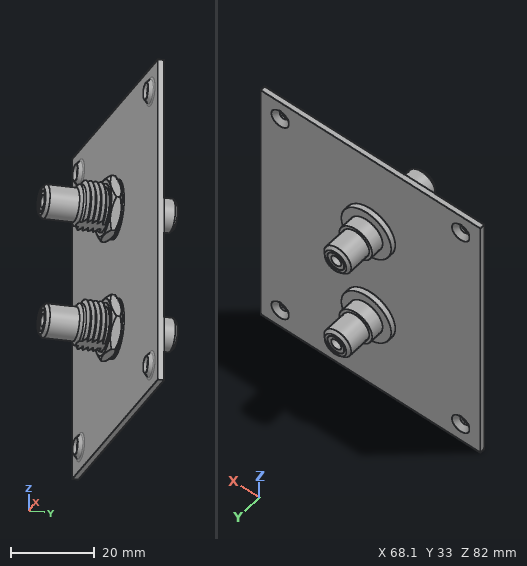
import cadquery as cq
import math


plate_width = 68.1
plate_height = 82.0
plate_thickness = 1.55
jack_z = 15.3

flank_angle = math.radians(45)
dimple_x = 28.0
dimple_z = 35.0
dimple_height = 1.15
crest_radius = 2.05
dimple_hole_radius = 1.3
foot_blend_radius = 0.8
dimple_bore_length = 0.6

jack_back = 14.6
jack_front = 18.4
barrel_radius = 4.2
tip_chamfer = 0.8
socket_radius = 2.6
socket_depth = 0.25
jack_bore_radius = 1.55
boss_radius = 5.1
boss_back = 7.05
flange_radius = 7.7
flange_back = 3.1
shank_radius = 5.9
shank_flat_depth = 4.8

thread_core_radius = 5.1
thread_crest_radius = 6.15
ridge_count = 4
first_ridge = 4.3
last_ridge = 8.1
thread_pitch = (last_ridge - first_ridge) / (ridge_count - 1)
ridge_half_width = thread_pitch / 2
collar_chamfer_start = 9.4
collar_end = 10.2

washer_radius = 7.3
washer_thickness = 0.4
nut_across_flats = 14.0
nut_thickness = 2.6
nut_face_radius = 6.9
nut_chamfer_angle = math.radians(35)

nut_front = washer_thickness + nut_thickness
nut_corner_radius = nut_across_flats / math.sqrt(3)


def disc(radius, y_start, y_end):
    """Solid cylinder on the Y axis between two Y positions."""
    length = y_end - y_start
    return cq.Workplane("XZ", origin=(0, y_end, 0)).circle(radius).extrude(length)


def revolve_about_y(outline):
    """Turn a closed XY outline, with X as the radius, once around the Y axis."""
    return outline.close().revolve(360, (0, 0, 0), (0, 1, 0))


def cut_shank_flat(body, y_start, y_end):
    """Remove everything below the shank flat between two Y positions."""
    cutter = (
        cq.Workplane("XY", origin=(0, 0, -shank_flat_depth))
        .center(0, (y_start + y_end) / 2)
        .rect(2 * flange_radius, y_end - y_start)
        .extrude(-shank_radius)
    )
    return body.cut(cutter)


def make_dimple():
    """Raised cone with a concave foot that blends into the plate."""
    half_angle = flank_angle / 2
    flank_foot_radius = crest_radius + dimple_height / math.tan(flank_angle)
    foot_radius = flank_foot_radius + foot_blend_radius * math.tan(half_angle)

    def blend_point(angle):
        """Point on the foot blend arc, measured from where it meets the plate."""
        radius = foot_radius - foot_blend_radius * math.sin(angle)
        rise = foot_blend_radius * (1 - math.cos(angle))
        return (radius, -rise)

    inside_plate = plate_thickness / 2
    return revolve_about_y(
        cq.Workplane("XY")
        .moveTo(0, inside_plate)
        .lineTo(0, -dimple_height)
        .lineTo(crest_radius, -dimple_height)
        .lineTo(*blend_point(flank_angle))
        .threePointArc(blend_point(half_angle), blend_point(0))
        .lineTo(foot_radius, inside_plate)
    )


def make_dimple_opening():
    """Front cone, short bore and hollow rear cone, the cones at the flank angle."""
    throat_y = -dimple_height + (crest_radius - dimple_hole_radius) * math.tan(flank_angle)
    bore_end = throat_y + dimple_bore_length
    rear_radius = dimple_hole_radius + (plate_thickness - bore_end) / math.tan(flank_angle)
    return revolve_about_y(
        cq.Workplane("XY")
        .moveTo(0, -dimple_height)
        .lineTo(crest_radius, -dimple_height)
        .lineTo(dimple_hole_radius, throat_y)
        .lineTo(dimple_hole_radius, bore_end)
        .lineTo(rear_radius, plate_thickness)
        .lineTo(0, plate_thickness)
    )


def make_plate():
    """Plate with keyed jack holes and a dimple at each corner."""
    plate = cq.Workplane("XY").box(plate_width, plate_thickness, plate_height)
    plate = plate.translate((0, plate_thickness / 2, 0))
    jack_hole = cut_shank_flat(disc(shank_radius, 0, plate_thickness), 0, plate_thickness)
    for z in (-jack_z, jack_z):
        plate = plate.cut(jack_hole.translate((0, 0, z)))
    for x in (-dimple_x, dimple_x):
        for z in (-dimple_z, dimple_z):
            plate = plate.union(make_dimple().translate((x, 0, z)))
            plate = plate.cut(make_dimple_opening().translate((x, 0, z)))
    return plate


def make_jack(z):
    """Through jack: two barrels, rear boss and flange, flatted shank and thread."""
    tip_radius = barrel_radius - tip_chamfer
    outline = (
        cq.Workplane("XY")
        .moveTo(0, jack_back)
        .lineTo(tip_radius, jack_back)
        .lineTo(barrel_radius, jack_back - tip_chamfer)
        .lineTo(barrel_radius, boss_back)
        .lineTo(boss_radius, boss_back)
        .lineTo(boss_radius, flange_back)
        .lineTo(flange_radius, flange_back)
        .lineTo(flange_radius, plate_thickness)
        .lineTo(shank_radius, plate_thickness)
        .lineTo(shank_radius, -nut_front)
        .lineTo(thread_core_radius, -nut_front)
    )
    outline = outline.lineTo(thread_core_radius, -first_ridge + ridge_half_width)
    for ridge in range(ridge_count):
        ridge_y = -first_ridge - ridge * thread_pitch
        outline = outline.lineTo(thread_crest_radius, ridge_y)
        outline = outline.lineTo(thread_core_radius, ridge_y - ridge_half_width)
    outline = (
        outline.lineTo(thread_core_radius, -collar_chamfer_start)
        .lineTo(barrel_radius, -collar_end)
        .lineTo(barrel_radius, -jack_front + tip_chamfer)
        .lineTo(tip_radius, -jack_front)
        .lineTo(0, -jack_front)
    )
    jack = cut_shank_flat(revolve_about_y(outline), -collar_end, plate_thickness)
    jack = jack.cut(disc(jack_bore_radius, -jack_front, jack_back))
    jack = jack.cut(disc(socket_radius, -jack_front, -jack_front + socket_depth))
    jack = jack.cut(disc(socket_radius, jack_back - socket_depth, jack_back))
    return jack.translate((0, 0, z))


def make_washer(z):
    """Flat ring between the plate and the nut."""
    washer = disc(washer_radius, -washer_thickness, 0)
    washer = washer.cut(disc(shank_radius, -washer_thickness, 0))
    return washer.translate((0, 0, z))


def make_nut(z):
    """Hex nut with corners on the X axis, chamfered on both faces."""
    hexagon = (
        cq.Workplane("XZ", origin=(0, -washer_thickness, 0))
        .polygon(6, 2 * nut_corner_radius)
        .extrude(nut_thickness)
    )
    chamfer_height = (nut_corner_radius - nut_face_radius) * math.tan(nut_chamfer_angle)
    envelope = revolve_about_y(
        cq.Workplane("XY")
        .moveTo(0, -washer_thickness)
        .lineTo(nut_face_radius, -washer_thickness)
        .lineTo(nut_corner_radius, -washer_thickness - chamfer_height)
        .lineTo(nut_corner_radius, -nut_front + chamfer_height)
        .lineTo(nut_face_radius, -nut_front)
        .lineTo(0, -nut_front)
    )
    nut = hexagon.intersect(envelope).cut(disc(shank_radius, -nut_front, -washer_thickness))
    return nut.translate((0, 0, z))


plate = make_plate()
bodies = [plate.val()]
for z in (-jack_z, jack_z):
    for make_body in (make_jack, make_washer, make_nut):
        bodies.append(make_body(z).val())

result = cq.Compound.makeCompound(bodies)